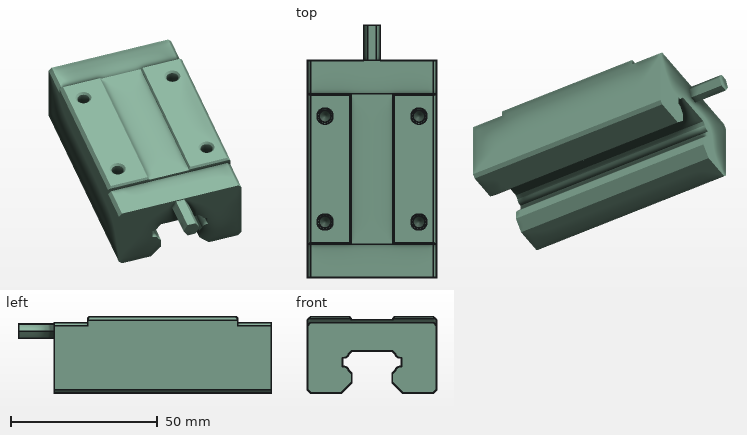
import cadquery as cq
import math

overall_length = 86.0
width = 44.0
block_length = 74.0
height = 26.0
edge_chamfer_width = 1.1
edge_chamfer_height = 1.1

raised_length = 51.2
end_step = 2.0
pad_bevel_run = 0.5
pad_bevel_drop = 0.7

channel_depth = 0.95
channel_floor_width = 14.3
channel_top_width = channel_floor_width + 2 * pad_bevel_run

groove_level = 10.5
groove_half_height = 1.5
groove_half_width = 10.0
ball_arc_middle = (8.7, 1.7)
ball_arc_end = (7.9, 2.75)
throat_half_width = 6.9
throat_half_height = 3.8
mouth_half_width = 10.4
throat_bottom = mouth_half_width - throat_half_width

hole_diameter = 4.1
hole_mouth_diameter = 5.4
hole_depth = 6.0
hole_pitch_x = 32.0
hole_pitch_y = 36.0
drill_tip_angle = 118.0

nipple_across_flats = 5.0
nipple_length = overall_length - block_length
nipple_level = 21.1


def prism_along_y(points, length):
    """Closed XZ outline extruded along Y and centred on Y = 0."""
    return cq.Workplane("XZ").polyline(points).close().extrude(length / 2, both=True)


def mirrored(right_side):
    """Complete a right-hand chain of points with its mirror image in X."""
    return right_side + [(-x, z) for x, z in reversed(right_side)]


def chamfered_bar(top, length):
    """Full-width bar from the underside up to a top level, with chamfered long edges."""
    half = width / 2
    return prism_along_y(
        mirrored([
            (half - edge_chamfer_width, 0),
            (half, edge_chamfer_height),
            (half, top - edge_chamfer_height),
            (half - edge_chamfer_width, top),
        ]),
        length,
    )


def beveled_ends():
    """Region that bevels both top ends of the raised section."""
    half = raised_length / 2
    return (
        cq.Workplane("YZ")
        .polyline([
            (-half, 0),
            (half, 0),
            (half, height - pad_bevel_drop),
            (half - pad_bevel_run, height),
            (pad_bevel_run - half, height),
            (-half, height - pad_bevel_drop),
        ])
        .close()
        .extrude(width / 2, both=True)
    )


def pad_channel():
    return prism_along_y(
        mirrored([
            (channel_floor_width / 2, height - channel_depth),
            (channel_floor_width / 2, height - pad_bevel_drop),
            (channel_top_width / 2, height),
        ]),
        raised_length,
    )


def rail_passage():
    arc_width, arc_rise = ball_arc_middle
    end_width, end_rise = ball_arc_end
    right_half = (
        cq.Workplane("XZ", origin=(0, 0, groove_level))
        .moveTo(0, -groove_level)
        .lineTo(mouth_half_width, -groove_level)
        .lineTo(throat_half_width, throat_bottom - groove_level)
        .lineTo(throat_half_width, -throat_half_height)
        .lineTo(end_width, -end_rise)
        .threePointArc((arc_width, -arc_rise), (groove_half_width, -groove_half_height))
        .lineTo(groove_half_width, groove_half_height)
        .threePointArc((arc_width, arc_rise), (end_width, end_rise))
        .lineTo(throat_half_width, throat_half_height)
        .lineTo(0, throat_half_height)
        .close()
        .extrude(block_length / 2, both=True)
    )
    return right_half.union(right_half.mirror("YZ"))


def mounting_hole():
    """Countersunk blind hole with a drill tip, opening at the pad face."""
    radius = hole_diameter / 2
    mouth_radius = hole_mouth_diameter / 2
    countersink_depth = mouth_radius - radius
    tip_depth = radius / math.tan(math.radians(drill_tip_angle / 2))
    return (
        cq.Workplane("XZ")
        .polyline([
            (0, height),
            (mouth_radius, height),
            (radius, height - countersink_depth),
            (radius, height - hole_depth),
            (0, height - hole_depth - tip_depth),
        ])
        .close()
        .revolve(360, (0, 0, 0), (0, 1, 0))
    )


def nipple():
    across_corners = nipple_across_flats / math.cos(math.radians(30))
    return (
        cq.Workplane("XZ", origin=(0, block_length / 2, nipple_level))
        .polygon(6, across_corners)
        .extrude(-nipple_length)
    )


end_caps = chamfered_bar(height - end_step, block_length)
raised_section = chamfered_bar(height, raised_length).intersect(beveled_ends())
result = end_caps.union(raised_section)
result = result.cut(pad_channel()).cut(rail_passage())

for x_side in (-1, 1):
    for y_side in (-1, 1):
        position = (x_side * hole_pitch_x / 2, y_side * hole_pitch_y / 2, 0)
        result = result.cut(mounting_hole().translate(position))

result = result.union(nipple())